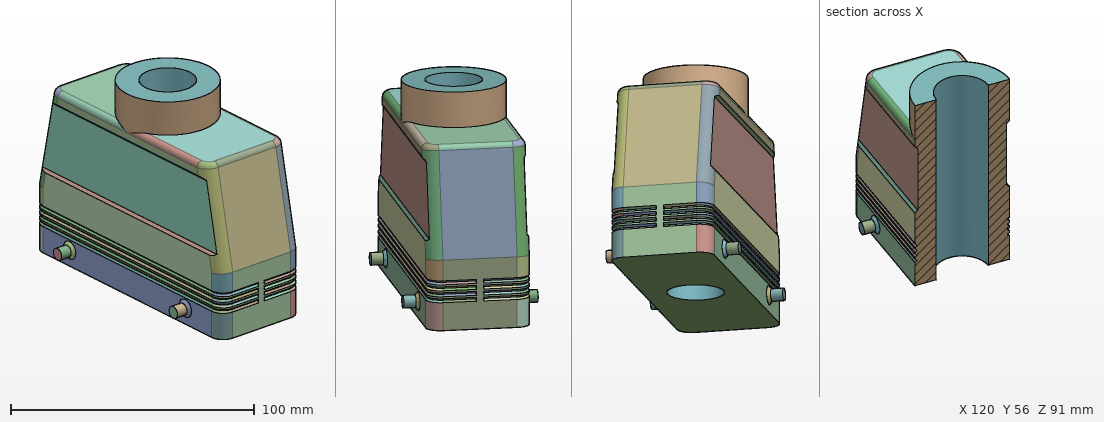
import cadquery as cq
import math

length = 120.0
width = 43.2
shoulder_height = 76.0
slope_start = 29.9
slope_angle = 12.0
corner_radius = 6.1
top_edge_radius = 2.5

total_height = 91.0
collar_diameter = width
bore_diameter = 23.6

recess_depth = 1.2
recess_bottom = 36.7
recess_top = 70.1

groove_count = 4
groove_pitch = 2.5
groove_depth = 0.8
lowest_groove_height = 12.7
groove_gap = 3.1

pin_spacing = 73.9
pin_height = 7.2
pin_diameter = 5.3
pin_tip_span = 56.0
pin_foot_length = 1.3


def make_body():
    """Block with leaning upper ends, rounded corners and a rounded top edge."""
    half_length = length / 2
    slope_inset = (shoulder_height - slope_start) * math.tan(math.radians(slope_angle))
    top_half_length = half_length - slope_inset
    body = (
        cq.Workplane("XZ")
        .moveTo(-half_length, 0)
        .lineTo(half_length, 0)
        .lineTo(half_length, slope_start)
        .lineTo(top_half_length, shoulder_height)
        .lineTo(-top_half_length, shoulder_height)
        .lineTo(-half_length, slope_start)
        .close()
        .extrude(width / 2, both=True)
    )
    body = body.edges("not(#Z)").fillet(corner_radius)
    return body.faces(">Z").edges().fillet(top_edge_radius)


def make_collar():
    """Round collar standing on the shoulder, sunk to the bottom of the rounded top edge."""
    base_height = shoulder_height - top_edge_radius
    return (
        cq.Workplane("XY", origin=(0, 0, base_height))
        .circle(collar_diameter / 2)
        .extrude(total_height - base_height)
    )


def make_side_recess():
    """Trapezoidal bar that cuts the panel into the -Y side along the full length."""
    outer_y = -width / 2
    inner_y = outer_y + recess_depth
    return (
        cq.Workplane("YZ")
        .moveTo(outer_y, recess_bottom)
        .lineTo(inner_y, recess_bottom + recess_depth)
        .lineTo(inner_y, recess_top - recess_depth)
        .lineTo(outer_y, recess_top)
        .close()
        .extrude(length / 2, both=True)
    )


def make_groove(height):
    """V-shaped ring around the body, interrupted at the middle of both short ends."""
    outline_center = (0, 0, height)
    outer_block = (
        cq.Workplane("XY", origin=outline_center)
        .rect(length, width)
        .extrude(groove_depth, both=True)
        .edges("|Z")
        .fillet(corner_radius)
    )
    core_upper_half = (
        cq.Workplane("XY", origin=outline_center)
        .sketch()
        .rect(length - 2 * groove_depth, width - 2 * groove_depth)
        .vertices()
        .fillet(corner_radius - groove_depth)
        .finalize()
        .extrude(groove_depth, taper=-45)
    )
    core_lower_half = core_upper_half.mirror("XY", outline_center)
    end_gap = cq.Workplane("XY", origin=outline_center).box(length, groove_gap, 2 * groove_depth)
    return outer_block.cut(core_upper_half).cut(core_lower_half).cut(end_gap)


def make_pin(x):
    """Locking pin pointing to -Y, with its conical foot on the body side."""
    foot_y = width / 2
    foot_end_y = foot_y + pin_foot_length
    pin_radius = pin_diameter / 2
    foot_radius = pin_radius + pin_foot_length
    return (
        cq.Workplane("XY")
        .moveTo(0, 0)
        .lineTo(foot_radius, 0)
        .lineTo(foot_radius, -foot_y)
        .lineTo(pin_radius, -foot_end_y)
        .lineTo(pin_radius, -pin_tip_span / 2)
        .lineTo(0, -pin_tip_span / 2)
        .close()
        .revolve(360, (0, 0, 0), (0, 1, 0))
        .translate((x, 0, pin_height))
    )


result = make_body()

recess = make_side_recess()
result = result.cut(recess).cut(recess.mirror("XZ"))

for index in range(groove_count):
    result = result.cut(make_groove(lowest_groove_height + index * groove_pitch))

result = result.union(make_collar())
for x in (-pin_spacing / 2, pin_spacing / 2):
    pin = make_pin(x)
    result = result.union(pin).union(pin.mirror("XZ"))

bore = cq.Workplane("XY").circle(bore_diameter / 2).extrude(total_height)
result = result.cut(bore)